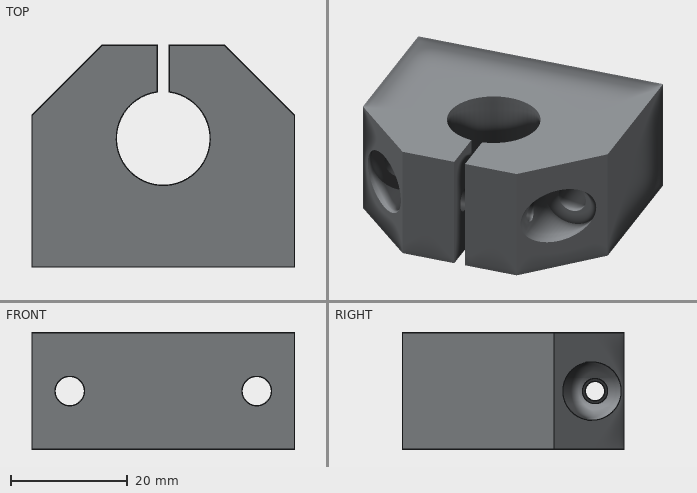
import cadquery as cq

width = 45.0
depth = 38.0
height = 20.0
corner_chamfer = 12.0
mid_height = height / 2

bore_diameter = 16.0
bore_y = 22.0
slit_width = 2.0

mount_spacing = 32.0
mount_diameter = 5.0
counterbore_diameter = 10.0
counterbore_floor_y = depth - corner_chamfer

thread_core_diameter = 3.3
screw_clearance_diameter = 4.3
clamp_y = 33.0


def cylinder_along_y(diameter, x, start_y, end_y):
    axis_start = cq.Vector(x, start_y, mid_height)
    solid = cq.Solid.makeCylinder(diameter / 2, end_y - start_y, axis_start, cq.Vector(0, 1, 0))
    return cq.Workplane(obj=solid)


def make_block():
    block = cq.Workplane("XY").box(width, depth, height, centered=(True, False, False))
    return block.edges("|Z and >Y").chamfer(corner_chamfer)


def make_bore_and_slit():
    bore = cq.Workplane("XY").center(0, bore_y).circle(bore_diameter / 2).extrude(height)
    slit = (
        cq.Workplane("XY")
        .center(0, bore_y)
        .box(slit_width, depth - bore_y, height, centered=(True, False, False))
    )
    return bore.union(slit)


def make_mounting_hole(x):
    hole = cylinder_along_y(mount_diameter, x, 0, depth)
    counterbore = cylinder_along_y(counterbore_diameter, x, counterbore_floor_y, depth)
    return hole.union(counterbore)


def make_clamp_hole():
    slit_centre = cq.Workplane("YZ", origin=(0, clamp_y, mid_height))
    thread_core = slit_centre.circle(thread_core_diameter / 2).extrude(-width / 2)
    clearance = slit_centre.circle(screw_clearance_diameter / 2).extrude(width / 2)
    return thread_core.union(clearance)


result = make_block().cut(make_bore_and_slit())
for side in (-1, 1):
    result = result.cut(make_mounting_hole(side * mount_spacing / 2))
result = result.cut(make_clamp_hole())